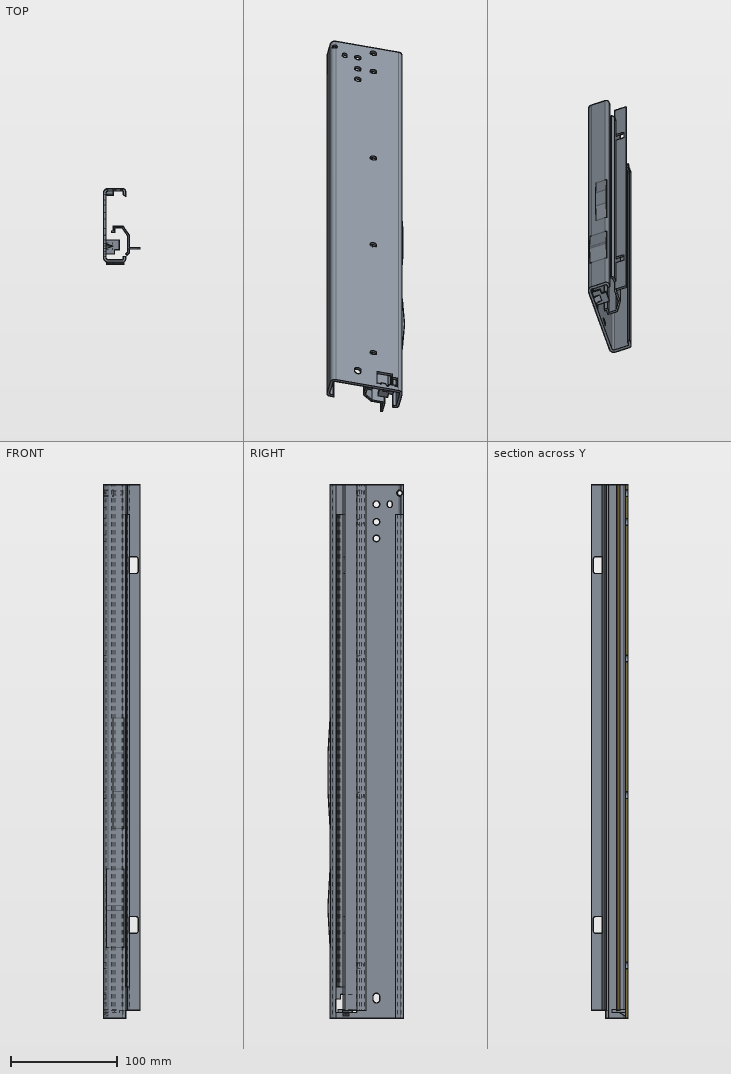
import cadquery as cq
import math

rail_length = 500.0
rail_sheet = 2.5
pad_height = 2.0
rail_low_y = pad_height
rail_high_y = 71.0
rail_depth = 21.0
wall_bend = 4.5
lip_bend = 3.0
upper_lip = 7.5
upper_lip_bevel = 1.75
lower_lip = 5.5

cut_back_x = 18.0
cut_back_z = 472.0

hole_diameter = 6.0
screw_row_y = 30.5
screw_row_z = [49.5, 209.0, 337.0, 465.0, 492.0]
mount_row_y = 45.5
mount_row_z = [449.5, 465.0, 481.5]
edge_slot_y = 58.0
edge_slot_width = 4.5
low_slot_z = 19.0
low_slot_height = 9.0

collar_y = 67.5
collar_z = 492.0
collar_reach = 9.5
collar_diameter = 6.0
collar_bore = 4.5

window_low_y = 7.5
window_high_y = 27.0
window_bottom = 5.5
window_top = 22.5
window_step_y = 12.0
window_step_z = 18.0
tab_low_y = 9.5
tab_high_y = 23.0
tab_top = 8.5
tab_bend = 2.5
tab_reach = 15.0
tab_step_reach = 10.5
tab_step_y = 13.5

dimple_y = 17.0
dimple_width = 6.0
dimple_low = 3.0
dimple_reach = 9.0
gusset_low = 2.0
gusset_reach = 8.5

pad_high_x = 19.5
long_pad_low_x = 9.0
long_pad_z = [178.0, 212.5, 248.5, 281.5]
short_pad_low_x = 3.0
short_pad_z = [66.5, 101.0, 105.5, 140.0]

inner_sheet = 1.75
inner_bottom = 7.5
web_x = 23.5
inner_path = [(7.5, 30.5), (10.0, 30.5), (10.0, 35.0), (18.0, 35.0), (web_x, 27.0), (web_x, 11.0), (21.5, 9.0)]
fin_y = 15.0
fin_tip_x = 34.5
trim_bottom = 29.5
trim_top = 472.0
fin_bend = 1.5
fin_slot_z = [87.5, 424.5]
fin_slot_height = 15.5
fin_slot_tip_x = 32.5
fin_slot_corner = 2.0


def block(x, y, z):
    """Box given by its (low, high) limits along each axis."""
    size = (x[1] - x[0], y[1] - y[0], z[1] - z[0])
    return cq.Workplane("XY").box(*size, centered=False).translate((x[0], y[0], z[0]))


def across_wall(y, z):
    """Workplane at X = 0 facing +X, with local axes along Y and Z."""
    return cq.Workplane("YZ").center(y, z)


def round_edge(body, x, y, radius, z=rail_length / 2):
    """Fillet the Z-parallel edge whose middle is nearest to (x, y, z)."""
    nearest = cq.selectors.NearestToPointSelector((x, y, z))
    return body.edges("|Z").edges(nearest).fillet(radius)


def strip_side(path, offset):
    """Points of an open path shifted sideways, with mitred corners."""
    headings = [math.atan2(b[1] - a[1], b[0] - a[0]) for a, b in zip(path, path[1:])]
    side = []
    for i, (x, y) in enumerate(path):
        before = headings[max(i - 1, 0)]
        after = headings[min(i, len(headings) - 1)]
        normal = (before + after + math.pi) / 2
        reach = offset / math.cos((after - before) / 2)
        side.append((x + reach * math.cos(normal), y + reach * math.sin(normal)))
    return side


def rail_section():
    inner_lip_x = rail_depth - rail_sheet
    lip_end_y = rail_high_y - upper_lip
    outline = [
        (0, rail_low_y),
        (rail_depth, rail_low_y),
        (rail_depth, rail_low_y + lower_lip),
        (inner_lip_x, rail_low_y + lower_lip),
        (inner_lip_x, rail_low_y + rail_sheet),
        (rail_sheet, rail_low_y + rail_sheet),
        (rail_sheet, rail_high_y - rail_sheet),
        (inner_lip_x, rail_high_y - rail_sheet),
        (inner_lip_x, lip_end_y + upper_lip_bevel),
        (rail_depth, lip_end_y),
        (rail_depth, rail_high_y),
        (0, rail_high_y),
    ]
    body = cq.Workplane("XY").polyline(outline).close().extrude(rail_length)
    for outer_y, inward in [(rail_low_y, 1), (rail_high_y, -1)]:
        inner_y = outer_y + inward * rail_sheet
        body = round_edge(body, 0, outer_y, wall_bend)
        body = round_edge(body, rail_sheet, inner_y, wall_bend - rail_sheet)
        body = round_edge(body, rail_depth, outer_y, lip_bend)
        body = round_edge(body, inner_lip_x, inner_y, lip_bend - rail_sheet)
    return body


def lip_cut_back():
    return block(
        (cut_back_x, rail_depth),
        (rail_high_y - upper_lip, rail_high_y),
        (cut_back_z, rail_length),
    )


def wall_holes():
    round_spots = [(screw_row_y, z) for z in screw_row_z] + [(mount_row_y, z) for z in mount_row_z]
    holes = cq.Workplane("YZ").pushPoints(round_spots).circle(hole_diameter / 2).extrude(rail_sheet)
    edge_slot = across_wall(edge_slot_y, mount_row_z[-1]).slot2D(hole_diameter, edge_slot_width, 90)
    low_slot = across_wall(mount_row_y, low_slot_z).slot2D(low_slot_height, hole_diameter, 90)
    return holes.union(edge_slot.extrude(rail_sheet)).union(low_slot.extrude(rail_sheet))


def add_collared_hole(body):
    collar = across_wall(collar_y, collar_z).circle(collar_diameter / 2).extrude(collar_reach)
    collar = collar.intersect(block((rail_sheet, collar_reach), (0, rail_high_y), (0, rail_length)))
    bore = across_wall(collar_y, collar_z).circle(collar_bore / 2).extrude(cut_back_x)
    return body.union(collar).cut(bore)


def window():
    outline = [
        (window_low_y, window_bottom),
        (window_high_y, window_bottom),
        (window_high_y, window_top),
        (window_step_y, window_top),
        (window_step_y, window_step_z),
        (window_low_y, window_step_z),
    ]
    return cq.Workplane("YZ").polyline(outline).close().extrude(rail_sheet)


def tab():
    outline = [
        (0, tab_low_y),
        (tab_step_reach, tab_low_y),
        (tab_step_reach, tab_step_y),
        (tab_reach, tab_step_y),
        (tab_reach, tab_high_y),
        (0, tab_high_y),
    ]
    plate = cq.Workplane("XY", origin=(0, 0, window_bottom)).polyline(outline).close()
    plate = plate.extrude(tab_top - window_bottom)
    return plate.edges("<X and >Z").fillet(tab_bend)


def gusset():
    """Solid backing under the tab that keeps metal behind the dimple."""
    outline = [
        (rail_sheet, gusset_low),
        (gusset_reach, window_bottom),
        (rail_sheet, window_bottom),
    ]
    middle = cq.Workplane("XZ", origin=(0, dimple_y, 0)).polyline(outline).close()
    return middle.extrude(dimple_width / 2, both=True)


def dimple():
    """Three-sided pyramid with its apex on top of the tab."""
    low_tip = cq.Vector(0, dimple_y, dimple_low)
    apex = cq.Vector(dimple_reach, dimple_y, tab_top)
    left = cq.Vector(0, dimple_y - dimple_width / 2, tab_top)
    right = cq.Vector(0, dimple_y + dimple_width / 2, tab_top)
    sides = [(left, right, low_tip), (left, right, apex), (left, low_tip, apex), (right, low_tip, apex)]
    faces = [cq.Face.makeFromWires(cq.Wire.makePolygon(side, close=True)) for side in sides]
    return cq.Workplane(cq.Solid.makeSolid(cq.Shell.makeShell(faces)))


def sliding_pad(low_x, stations):
    """Pad under the lower flange; stations are the Z of its ramp ends."""
    bottom, flat_bottom, flat_top, top = stations
    embedded_y = rail_low_y + rail_sheet / 2
    outline = [
        (embedded_y, bottom),
        (rail_low_y, bottom),
        (rail_low_y - pad_height, flat_bottom),
        (rail_low_y - pad_height, flat_top),
        (rail_low_y, top),
        (embedded_y, top),
    ]
    pad = cq.Workplane("YZ", origin=(low_x, 0, 0)).polyline(outline).close()
    return pad.extrude(pad_high_x - low_x)


def make_outer_rail():
    body = rail_section().cut(wall_holes()).cut(lip_cut_back())
    body = add_collared_hole(body)
    body = body.cut(window()).union(tab()).union(gusset()).cut(dimple())
    body = body.union(sliding_pad(long_pad_low_x, long_pad_z))
    return body.union(sliding_pad(short_pad_low_x, short_pad_z))


def fin_slot(z):
    half = fin_slot_height / 2
    half_sheet = inner_sheet / 2
    slot = block(
        (web_x + half_sheet, fin_slot_tip_x),
        (fin_y - half_sheet, fin_y + half_sheet),
        (z - half, z + half),
    )
    return slot.edges(">X and |Y").fillet(fin_slot_corner)


def make_inner_rail():
    half_sheet = inner_sheet / 2
    outline = strip_side(inner_path, half_sheet) + strip_side(inner_path, -half_sheet)[::-1]
    strip = cq.Workplane("XY", origin=(0, 0, inner_bottom)).polyline(outline).close()
    body = strip.extrude(rail_length - inner_bottom)
    fin_sides = (fin_y - half_sheet, fin_y + half_sheet)
    body = body.union(block((web_x, fin_tip_x), fin_sides, (inner_bottom, rail_length)))
    for ends in [(inner_bottom, trim_bottom), (trim_top, rail_length)]:
        body = body.cut(block((0, fin_tip_x), (0, fin_sides[0]), ends))
        body = round_edge(body, web_x - half_sheet, fin_sides[0], fin_bend, sum(ends) / 2)
    for z in fin_slot_z:
        body = body.cut(fin_slot(z))
    return body


outer_rail = make_outer_rail()
inner_rail = make_inner_rail()
result = cq.Compound.makeCompound([outer_rail.solids().val(), inner_rail.solids().val()])